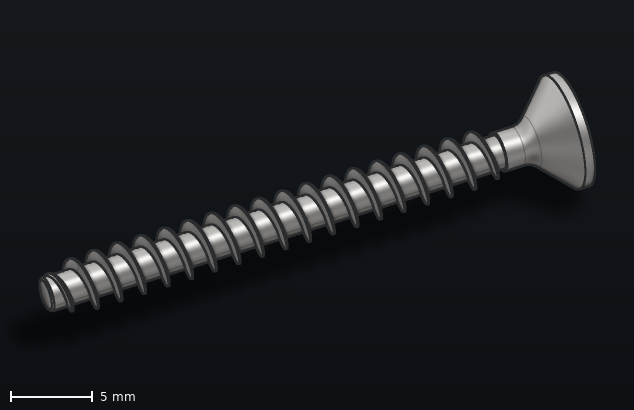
import cadquery as cq
import math


screw_length = 35.0
head_diameter = 7.3
neck_diameter = 2.5
core_diameter = 2.16
thread_diameter = 3.5

head_rim_height = 0.65
countersink_angle = 90.0
neck_fillet_radius = 1.3
neck_end_depth = 4.8
tip_chamfer = 0.12

thread_pitch = 1.571
thread_root_width = 0.5
thread_crest_width = 0.08
thread_start_depth = 4.02
run_in_turns = 1.5
full_height_turns = 16.75
run_out_turns = 1.5
root_embedding = 0.1

core_end_depth = screw_length - tip_chamfer
head_radius = head_diameter / 2
neck_radius = neck_diameter / 2
core_radius = core_diameter / 2
crest_radius = thread_diameter / 2
root_radius = core_radius - root_embedding
run_out_radius = (root_radius + core_radius) / 2


def make_body():
    """Revolve the head, neck and core, with a tangent arc from countersink to neck."""
    half_angle = math.radians(countersink_angle / 2)
    arc_centre_radius = neck_radius + neck_fillet_radius
    arc_top_radius = arc_centre_radius - neck_fillet_radius * math.cos(half_angle)
    arc_top_depth = head_rim_height + (head_radius - arc_top_radius) / math.tan(half_angle)
    arc_end_depth = arc_top_depth + neck_fillet_radius * math.sin(half_angle)
    arc_mid_radius = arc_centre_radius - neck_fillet_radius * math.cos(half_angle / 2)
    arc_mid_depth = arc_end_depth - neck_fillet_radius * math.sin(half_angle / 2)
    return (
        cq.Workplane("XZ")
        .moveTo(0, 0)
        .lineTo(head_radius, 0)
        .lineTo(head_radius, head_rim_height)
        .lineTo(arc_top_radius, arc_top_depth)
        .threePointArc((arc_mid_radius, arc_mid_depth), (neck_radius, arc_end_depth))
        .lineTo(neck_radius, neck_end_depth)
        .lineTo(core_radius, neck_end_depth)
        .lineTo(core_radius, core_end_depth)
        .lineTo(core_radius - tip_chamfer, screw_length)
        .lineTo(0, screw_length)
        .close()
        .revolve(360, (0, 0, 0), (0, 1, 0))
    )


def helix_edge(start_turn, turns, axial_offset, start_radius, end_radius):
    """Helix along Z whose radius changes evenly from start_radius to end_radius."""
    height = turns * thread_pitch
    start_depth = thread_start_depth + start_turn * thread_pitch + axial_offset
    if start_radius == end_radius:
        helix = cq.Wire.makeHelix(thread_pitch, height, start_radius)
    else:
        cone_angle = math.atan2(end_radius - start_radius, height)
        slant = 1 / math.cos(cone_angle)
        helix = cq.Wire.makeHelix(
            thread_pitch * slant, height * slant, start_radius, angle=math.degrees(cone_angle)
        )
    turned = helix.rotate(cq.Vector(0, 0, 0), cq.Vector(0, 0, 1), 360 * start_turn)
    return turned.translate(cq.Vector(0, 0, start_depth))


def thread_section(start_turn, turns, start_crest, end_crest):
    """Solid ridge of trapezoidal section; its crest rises or falls between the two radii."""
    root_offset = thread_root_width / 2
    crest_offset = thread_crest_width / 2
    edges = [
        helix_edge(start_turn, turns, -root_offset, root_radius, root_radius),
        helix_edge(start_turn, turns, -crest_offset, start_crest, end_crest),
        helix_edge(start_turn, turns, crest_offset, start_crest, end_crest),
        helix_edge(start_turn, turns, root_offset, root_radius, root_radius),
    ]
    faces = [cq.Face.makeRuledSurface(edges[i - 1], edges[i]) for i in range(len(edges))]
    for corners in ([e.startPoint() for e in edges], [e.endPoint() for e in edges]):
        faces.append(cq.Face.makeFromWires(cq.Wire.makePolygon(corners, close=True)))
    return cq.Workplane(obj=cq.Solid.makeSolid(cq.Shell.makeShell(faces)))


def make_thread():
    """Run-in, full-height and run-out ridges, trimmed to the length of the core."""
    full_start = run_in_turns
    run_out_start = full_start + full_height_turns
    sections = [
        thread_section(0, run_in_turns, neck_radius, crest_radius),
        thread_section(full_start, full_height_turns, crest_radius, crest_radius),
        thread_section(run_out_start, run_out_turns, crest_radius, run_out_radius),
    ]
    threaded_zone = (
        cq.Workplane("XY", origin=(0, 0, neck_end_depth))
        .circle(thread_diameter)
        .extrude(core_end_depth - neck_end_depth)
    )
    return [section.intersect(threaded_zone) for section in sections]


screw = make_body()
for ridge in make_thread():
    screw = screw.union(ridge)

result = screw.rotate((0, 0, 0), (1, 0, 0), 90).solids()